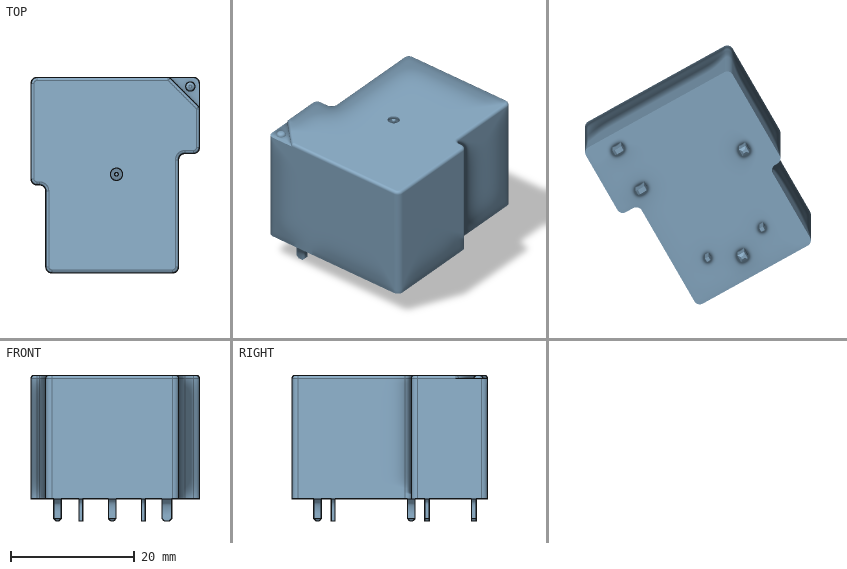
import cadquery as cq
total_width = 27.4
total_depth = 31.81
total_height = 23.7
pin_length = 3.6
case_height = total_height - pin_length

rear_left = -total_width / 2
rear_right = total_width / 2
back = total_depth / 2
front = -total_depth / 2
left_shoulder_inset = 2.4
right_shoulder_inset = 3.4
front_left = rear_left + left_shoulder_inset
front_right = rear_right - right_shoulder_inset
left_shoulder_y = back - 17.5
right_shoulder_y = back - 12.4
corner_radius = 1.0

top_edge_radius = 0.5
ledge_leg = 4.9
ledge_depth = 0.55
ledge_corner_radius = 0.5
ledge_height = case_height - ledge_depth

dome_flat_radius = 0.25
dome_height = 0.5
dome_radius = dome_flat_radius + dome_height
dome_embed = 0.5
dome_x = rear_right - 1.5
dome_y = back - 1.5

gate_x = 0.2
gate_y = 0.15
gate_radius = 1.0
gate_post_radius = 0.3
gate_depth = 0.5

pitch = 2.54
pin_axis_x = (front_left + front_right) / 2
pin_chamfer = 0.4
pin_embed = 0.5

contact_size = 1.25
blade_width = 1.6
blade_thickness = 0.8
coil_size = 0.65

side_contact_x = pin_axis_x - 3.5 * pitch
blade_x = pin_axis_x + 3.5 * pitch
coil_offset = 2 * pitch
rear_blade_y = 13.67
front_blade_y = rear_blade_y - 3 * pitch
side_contact_y = front_blade_y - pitch
coil_y = side_contact_y - 5 * pitch
front_contact_y = coil_y - pitch


def outline_prism(rear_right_corner, height):
    """Case outline with the given rear right corner points, extruded up from the underside."""
    points = [
        (front_left, front),
        (front_right, front),
        (front_right, right_shoulder_y),
        (rear_right, right_shoulder_y),
        *rear_right_corner,
        (rear_left, back),
        (rear_left, left_shoulder_y),
        (front_left, left_shoulder_y),
    ]
    return cq.Workplane("XY").polyline(points).close().extrude(height)


def make_case():
    """Full-height block with its rear right corner cut off, plus a block that fills it up to the ledge."""
    ledge_block = outline_prism([(rear_right, back)], ledge_height)
    ledge_block = ledge_block.edges("|Z").fillet(corner_radius)

    cut_ends = [(rear_right, back - ledge_leg), (rear_right - ledge_leg, back)]
    main_block = outline_prism(cut_ends, case_height)
    vertical_edges = cq.StringSyntaxSelector("|Z")
    cut_corner = cq.selectors.BoxSelector(
        (rear_right - ledge_leg - corner_radius, back - ledge_leg - corner_radius, 0),
        (rear_right + corner_radius, back + corner_radius, case_height),
    )
    main_block = main_block.edges(vertical_edges - cut_corner).fillet(corner_radius)
    main_block = main_block.edges(vertical_edges & cut_corner).fillet(ledge_corner_radius)
    main_block = main_block.faces(">Z").edges().fillet(top_edge_radius)
    return main_block.union(ledge_block, clean=True)


def make_dome():
    """Low button whose rounded rim leaves a small flat on top."""
    return (
        cq.Workplane("XY", origin=(dome_x, dome_y, ledge_height - dome_embed))
        .circle(dome_radius)
        .extrude(dome_embed + dome_height)
        .faces(">Z")
        .edges()
        .fillet(dome_height)
    )


def make_gate_recess():
    """Ring-shaped cutter that leaves the post standing in the middle."""
    return (
        cq.Workplane("XY", origin=(gate_x, gate_y, case_height - gate_depth))
        .circle(gate_radius)
        .circle(gate_post_radius)
        .extrude(gate_depth)
    )


def make_pin(x, y, size_x, size_y, chamfered_edges=None):
    """Rectangular pin below the case; the selected tip edges are chamfered."""
    pin = (
        cq.Workplane("XY", origin=(x, y, -pin_length))
        .rect(size_x, size_y)
        .extrude(pin_length + pin_embed)
    )
    if chamfered_edges:
        pin = pin.faces("<Z").edges(chamfered_edges).chamfer(pin_chamfer)
    return pin


def make_pins():
    all_tip_edges = "|X or |Y"
    side_tip_edges = "|Y"
    pins = [
        make_pin(pin_axis_x, front_contact_y, contact_size, contact_size, all_tip_edges),
        make_pin(side_contact_x, side_contact_y, contact_size, contact_size, all_tip_edges),
    ]
    for blade_y in (rear_blade_y, front_blade_y):
        pins.append(make_pin(blade_x, blade_y, blade_width, blade_thickness, side_tip_edges))
    for side in (-1, 1):
        pins.append(make_pin(pin_axis_x + side * coil_offset, coil_y, coil_size, coil_size))
    return pins


result = make_case().union(make_dome()).cut(make_gate_recess())
for terminal in make_pins():
    result = result.union(terminal)